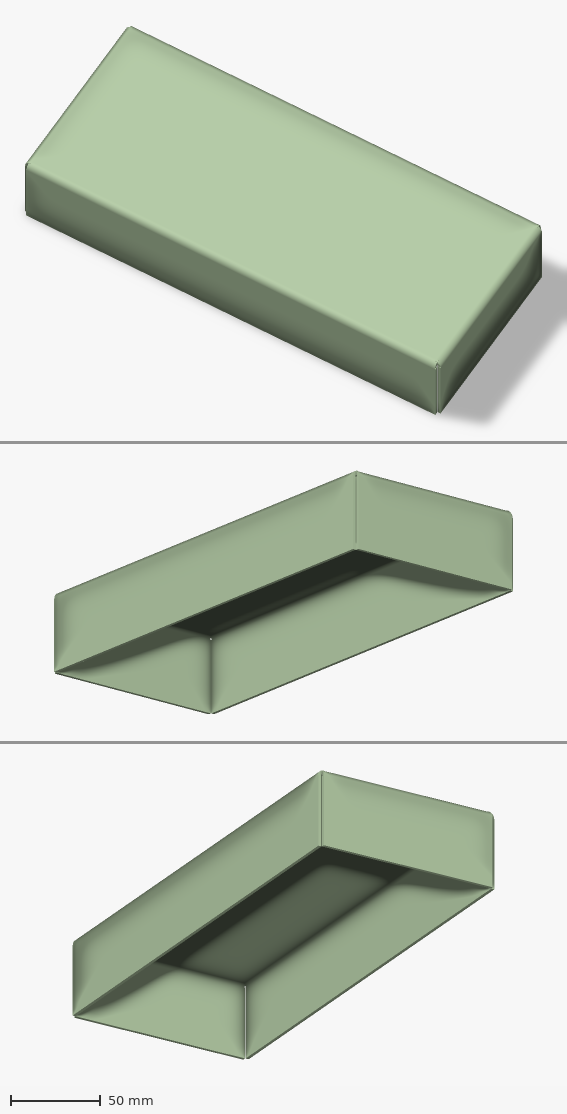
import cadquery as cq

length = 269.5
width = 114.0
height = 47.0
thickness = 2.0
bend_radius = 3.8
inner_bend_radius = bend_radius - thickness
corner_setback_x = 2.02
corner_setback_y = 2.3
bend_relief = 0.3

panel_length = length - 2 * bend_radius
panel_width = width - 2 * bend_radius
wall_height = height - bend_radius


def block(size_x, size_y, size_z):
    """Box centred in X and Y, standing on the bottom plane."""
    return cq.Workplane("XY").box(size_x, size_y, size_z, centered=(True, True, False))


def channel(span, run):
    """Bent channel running along Y, with its open side down."""
    outside = block(span, run, height)
    outside = outside.edges("|Y and >Z").fillet(bend_radius)
    inside = block(span - 2 * thickness, run, height - thickness)
    inside = inside.edges("|Y and >Z").fillet(inner_bend_radius)
    return outside.cut(inside)


def bent_walls(span, run):
    """Two opposite walls and their slightly shorter bends, without the flat panel."""
    walls = block(span, run, wall_height).cut(block(span - 2 * thickness, run, wall_height))
    bends = channel(span, run - 2 * bend_relief).cut(block(span - 2 * bend_radius, run, height))
    return walls.union(bends)


top_panel = block(panel_length, panel_width, thickness).translate((0, 0, height - thickness))
end_walls = bent_walls(length, width - 2 * corner_setback_y)
long_walls = bent_walls(width, length - 2 * corner_setback_x).rotate((0, 0, 0), (0, 0, 1), 90)

result = top_panel.union(end_walls).union(long_walls)